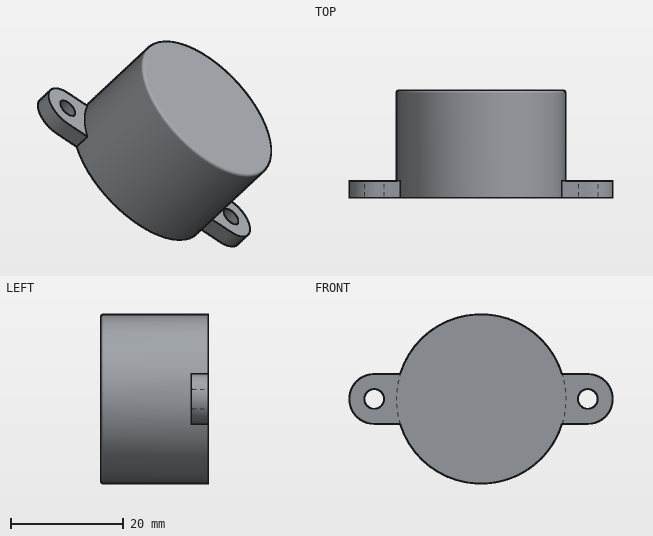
import cadquery as cq

body_diameter = 30.2
body_depth = 19.15
rear_edge_radius = 0.5

overall_length = 47.0
ear_width = 8.95
ear_thickness = 3.0
hole_diameter = 3.5
hole_spacing = overall_length - ear_width


def front_plane():
    """XZ sketch plane whose normal points to +Y, into the part."""
    return cq.Workplane(cq.Plane(origin=(0, 0, 0), xDir=(1, 0, 0), normal=(0, 1, 0)))


def make_body():
    body = front_plane().circle(body_diameter / 2).extrude(body_depth)
    return body.faces(">Y").edges().fillet(rear_edge_radius)


def make_ears():
    """One round-ended bar through the body forms both ears."""
    return front_plane().slot2D(overall_length, ear_width).extrude(ear_thickness)


def make_mounting_holes():
    centres = [(side * hole_spacing / 2, 0) for side in (-1, 1)]
    return front_plane().pushPoints(centres).circle(hole_diameter / 2).extrude(ear_thickness)


result = make_body().union(make_ears()).cut(make_mounting_holes())